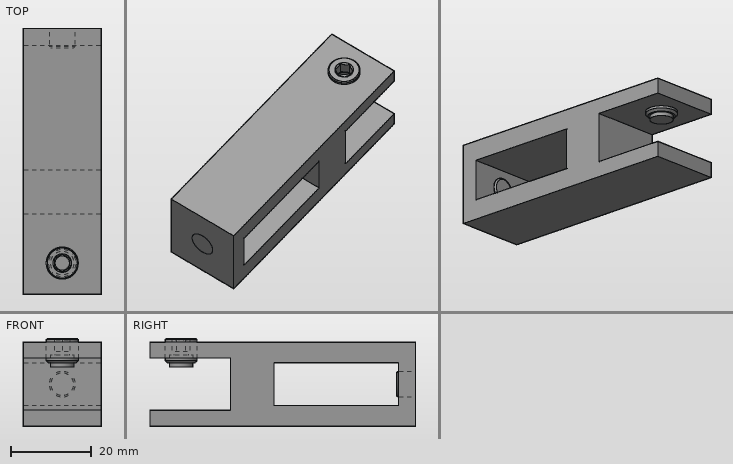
import cadquery as cq
import math

LENGTH = 66.0
WIDTH = 19.5
HEIGHT = 20.9
FORK_DEPTH = 20.0
FORK_ARM = 4.0
END_WALL = 4.3
WINDOW_LENGTH = 30.8
WINDOW_HEIGHT = 10.55

SLEEVE_DIAMETER = 8.0
SLEEVE_TO_FORK_END = 7.8
SLEEVE_ABOVE = 0.85
SLEEVE_BELOW = 1.2
SLEEVE_TOP_CHAMFER = 0.25
SLEEVE_BOTTOM_CHAMFER = 0.6
SOCKET_ACROSS_FLATS = 3.8
SOCKET_DEPTH = 3.25
SOCKET_MOUTH_DIAMETER = 4.6
CORE_HOLE_DIAMETER = 3.55

PIN_DIAMETER = 5.8
PIN_STICKOUT = 1.0
PIN_INSET = 2.0

SCREW_DIAMETER = 6.4
SCREW_STICKOUT = 0.5
SCREW_TIP_CHAMFER = 0.4

SLEEVE_Y = -LENGTH / 2 + SLEEVE_TO_FORK_END
SLEEVE_BOTTOM = HEIGHT - FORK_ARM - SLEEVE_BELOW
SLEEVE_TOP = HEIGHT + SLEEVE_ABOVE
SLEEVE_LENGTH = SLEEVE_TOP - SLEEVE_BOTTOM
MID_HEIGHT = HEIGHT / 2


def upright_cylinder(diameter, bottom, height):
    """Cylinder on the plunger axis."""
    return cq.Workplane("XY", origin=(0, SLEEVE_Y, bottom)).circle(diameter / 2).extrude(height)


def end_screw_cylinder():
    """Plain shank from the rear face to the screw tip."""
    rear_face = cq.Workplane("XZ", origin=(0, LENGTH / 2, MID_HEIGHT))
    return rear_face.circle(SCREW_DIAMETER / 2).extrude(END_WALL + SCREW_STICKOUT)


def make_housing():
    block = cq.Workplane("XY").box(WIDTH, LENGTH, HEIGHT, centered=(True, True, False))
    fork_gap = cq.Workplane("XY").box(WIDTH, FORK_DEPTH, HEIGHT - 2 * FORK_ARM)
    fork_gap = fork_gap.translate((0, (FORK_DEPTH - LENGTH) / 2, MID_HEIGHT))
    window = cq.Workplane("XY").box(WIDTH, WINDOW_LENGTH, WINDOW_HEIGHT)
    window = window.translate((0, LENGTH / 2 - END_WALL - WINDOW_LENGTH / 2, MID_HEIGHT))
    sleeve_hole = upright_cylinder(SLEEVE_DIAMETER, SLEEVE_BOTTOM, SLEEVE_LENGTH)
    return block.cut(fork_gap).cut(window).cut(sleeve_hole).cut(end_screw_cylinder())


def make_hex_socket():
    """Hexagon with corners toward +Y and -Y, opened by a conical mouth."""
    hex_diameter = SOCKET_ACROSS_FLATS / math.cos(math.pi / 6)
    mouth_depth = (SOCKET_MOUTH_DIAMETER - SOCKET_ACROSS_FLATS) / 2
    hexagon = cq.Workplane("XY").polygon(6, hex_diameter).extrude(-SOCKET_DEPTH)
    hexagon = hexagon.rotate((0, 0, 0), (0, 0, 1), 30)
    mouth = (
        cq.Workplane("XY")
        .circle(SOCKET_MOUTH_DIAMETER / 2)
        .workplane(offset=-mouth_depth)
        .circle(SOCKET_ACROSS_FLATS / 2)
        .loft()
    )
    return hexagon.union(mouth).translate((0, SLEEVE_Y, SLEEVE_TOP))


def make_plunger_sleeve():
    sleeve = upright_cylinder(SLEEVE_DIAMETER, SLEEVE_BOTTOM, SLEEVE_LENGTH)
    sleeve = sleeve.faces(">Z").edges().chamfer(SLEEVE_TOP_CHAMFER)
    sleeve = sleeve.faces("<Z").edges().chamfer(SLEEVE_BOTTOM_CHAMFER)
    pin_bore = upright_cylinder(PIN_DIAMETER, SLEEVE_BOTTOM, PIN_INSET)
    core_hole = upright_cylinder(CORE_HOLE_DIAMETER, SLEEVE_BOTTOM, SLEEVE_LENGTH)
    return sleeve.cut(make_hex_socket()).cut(pin_bore).cut(core_hole)


def make_plunger_pin():
    return upright_cylinder(PIN_DIAMETER, SLEEVE_BOTTOM - PIN_STICKOUT, PIN_STICKOUT + PIN_INSET)


def make_end_screw():
    return end_screw_cylinder().faces("<Y").edges().chamfer(SCREW_TIP_CHAMFER)


housing = make_housing()
plunger_sleeve = make_plunger_sleeve()
plunger_pin = make_plunger_pin()
end_screw = make_end_screw()

result = cq.Compound.makeCompound(
    [housing.val(), plunger_sleeve.val(), plunger_pin.val(), end_screw.val()]
)